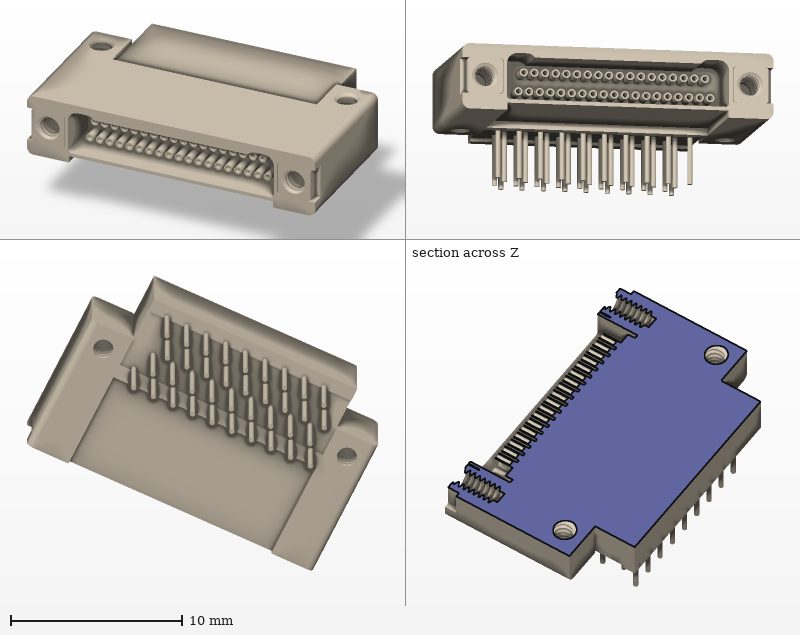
import cadquery as cq


SHELL_WIDTH = 18.52
SHELL_DEPTH = 8.76
SHELL_HEIGHT = 3.87
SHELL_EDGE_RADIUS = 0.42

OVERALL_DEPTH = 11.54
BLOCK_WIDTH = 13.15
BLOCK_FRONT_Y = 6.06
BLOCK_TOP_Z = 3.55
BLOCK_BOTTOM_Z = 0.19
FOOT_DEPTH = 0.82
NOTCH_HEIGHT = 0.42

CAVITY_WIDTH = 13.23
CAVITY_BOTTOM_Z = 0.64
CAVITY_TOP_Z = 3.15
CAVITY_EAR_Z = 3.385
CAVITY_EAR_WIDTH = 1.81
CAVITY_EAR_RADIUS = 0.63
CAVITY_CORNER_RADIUS = 0.22
CAVITY_DEPTH = 2.8
INSERT_WIDTH = 12.78
INSERT_BOTTOM_Z = 0.825
INSERT_TOP_Z = 3.04
INSERT_TOP_RADIUS = 0.38
INSERT_BOTTOM_RADIUS = 0.15
INSERT_FACE_Y = 2.3

PITCH = 0.635
LOWER_COUNT = 19
UPPER_COUNT = 18
LOWER_ROW_Z = 1.31
UPPER_ROW_Z = 2.44
CONTACT_DIAMETER = 0.48
CONTACT_BORE = 0.30
CONTACT_TIP_Y = 1.05
CONTACT_BORE_DEPTH = 1.0
TAIL_DIAMETER = 0.30
TAIL_END_Z = -2.77
TAIL_FIRST_ROW_Y = 7.01
TAIL_ROW_SPACING = 1.27
EMBED = 0.3

FASTENER_X = 7.885
SLOT_DEPTH = 0.77
SLOT_INNER_X = 6.83
SLOT_BOTTOM_Z = 0.93
SLOT_TOP_Z = 3.04
NUT_CLEARANCE = 0.04
NUT_OUTER_X = 8.97
NUT_CORNER_RADIUS = 0.18
THREAD_MINOR = 1.18
THREAD_MAJOR = 1.66
THREAD_PITCH = 0.35
THREAD_ROOT_RATIO = 0.9
THREAD_BASE_RATIO = 0.9
THREAD_START_ANGLE = 180
ENTRY_DIAMETER = 1.5
FRONT_THREAD_Z = (SLOT_BOTTOM_Z + SLOT_TOP_Z) / 2
FRONT_THREAD_DEPTH = 3.0
BOARD_SCREW_Y = 7.42
PIN_Y = 4.70
PIN_DIAMETER = 1.0


def box(x_min, x_max, y_min, y_max, z_min, z_max):
    """Axis-aligned box from its limits."""
    size = (x_max - x_min, y_max - y_min, z_max - z_min)
    return cq.Workplane("XY").box(*size, centered=False).translate((x_min, y_min, z_min))


def rod(x, y, z, diameter, length, direction):
    """Cylinder that starts at a point and runs along a direction."""
    return cq.Solid.makeCylinder(diameter / 2, length, cq.Vector(x, y, z), cq.Vector(*direction))


def row_positions(count):
    """X of each contact in a centred row."""
    return [(i - (count - 1) / 2) * PITCH for i in range(count)]


def shell():
    half = SHELL_WIDTH / 2
    body = box(-half, half, 0, SHELL_DEPTH, 0, SHELL_HEIGHT)
    return body.edges("|Y").fillet(SHELL_EDGE_RADIUS)


def block_opening():
    """Space cleared at the rear of the shell for the insulator, plus the notch under the front."""
    half = BLOCK_WIDTH / 2
    rear = box(-half, half, BLOCK_FRONT_Y, SHELL_DEPTH, 0, SHELL_HEIGHT)
    notch = box(-half, half, 0, BLOCK_FRONT_Y, 0, NOTCH_HEIGHT)
    return rear.union(notch)


def insulator_block():
    """Rear block standing on a foot along its front and rear edges."""
    half = BLOCK_WIDTH / 2
    block = box(-half, half, BLOCK_FRONT_Y, OVERALL_DEPTH, 0, BLOCK_TOP_Z)
    relief_front = BLOCK_FRONT_Y + FOOT_DEPTH
    relief_rear = OVERALL_DEPTH - FOOT_DEPTH
    return block.cut(box(-half, half, relief_front, relief_rear, 0, BLOCK_BOTTOM_Z))


def mating_cavity():
    """D opening: a rectangle with a raised, rounded ear at each upper corner."""
    half = CAVITY_WIDTH / 2
    lower = box(-half, half, 0, CAVITY_DEPTH, CAVITY_BOTTOM_Z, CAVITY_EAR_Z - CAVITY_EAR_RADIUS)
    cavity = lower.edges("|Y and <Z").fillet(CAVITY_CORNER_RADIUS)
    ear_inner = half - CAVITY_EAR_WIDTH
    for x_min, x_max in ((-half, -ear_inner), (ear_inner, half)):
        ear = box(x_min, x_max, 0, CAVITY_DEPTH, CAVITY_BOTTOM_Z + CAVITY_CORNER_RADIUS, CAVITY_EAR_Z)
        cavity = cavity.union(ear.edges("|Y and >Z").fillet(CAVITY_EAR_RADIUS))
    middle = half - CAVITY_EAR_WIDTH / 2
    return cavity.union(box(-middle, middle, 0, CAVITY_DEPTH, CAVITY_BOTTOM_Z, CAVITY_TOP_Z))


def contact_insert():
    half = INSERT_WIDTH / 2
    insert = box(-half, half, INSERT_FACE_Y, CAVITY_DEPTH, INSERT_BOTTOM_Z, INSERT_TOP_Z)
    insert = insert.edges("|Y and >Z").fillet(INSERT_TOP_RADIUS)
    return insert.edges("|Y and <Z").fillet(INSERT_BOTTOM_RADIUS)


def contacts():
    """Tubular sockets, staggered in two rows."""
    length = INSERT_FACE_Y - CONTACT_TIP_Y + EMBED
    tubes = []
    for count, z in ((LOWER_COUNT, LOWER_ROW_Z), (UPPER_COUNT, UPPER_ROW_Z)):
        for x in row_positions(count):
            barrel = rod(x, CONTACT_TIP_Y, z, CONTACT_DIAMETER, length, (0, 1, 0))
            bore = rod(x, CONTACT_TIP_Y, z, CONTACT_BORE, CONTACT_BORE_DEPTH, (0, 1, 0))
            tubes.append(barrel.cut(bore))
    return tubes


def board_tails():
    """Four rows of tails; each contact row feeds two of them alternately."""
    tails = []
    length = BLOCK_BOTTOM_Z + EMBED - TAIL_END_Z
    for row_pair, count in enumerate((LOWER_COUNT, UPPER_COUNT)):
        for i, x in enumerate(row_positions(count)):
            y = TAIL_FIRST_ROW_Y + (2 * row_pair + i % 2) * TAIL_ROW_SPACING
            tails.append(rod(x, y, TAIL_END_Z, TAIL_DIAMETER, length, (0, 0, 1)))
    return tails


def nut_slot(side):
    """Slot in the front face, open towards the end of the shell."""
    outer = SHELL_WIDTH / 2 + NUT_CORNER_RADIUS
    slot = box(SLOT_INNER_X, outer, 0, SLOT_DEPTH, SLOT_BOTTOM_Z, SLOT_TOP_Z)
    slot = slot.edges("|Y and <X").fillet(NUT_CORNER_RADIUS)
    return slot if side > 0 else slot.mirror("YZ")


def nut(side):
    """Square nut seated in the slot, flush with the front face."""
    inner = SLOT_INNER_X + NUT_CLEARANCE
    body = box(inner, NUT_OUTER_X, 0, SLOT_DEPTH, SLOT_BOTTOM_Z, SLOT_TOP_Z)
    body = body.edges("|Y").fillet(NUT_CORNER_RADIUS)
    return body if side > 0 else body.mirror("YZ")


def locating_pin(side):
    """Pin through the shell, flush with its top and bottom."""
    return rod(side * FASTENER_X, PIN_Y, 0, PIN_DIAMETER, SHELL_HEIGHT, (0, 0, 1))


def thread_cutters(depth, thread_start, thread_end, location):
    """Drill and helical groove of a tapped hole made along +Z from Z = 0, then moved to a location."""
    minor = THREAD_MINOR / 2
    major = THREAD_MAJOR / 2
    root = THREAD_ROOT_RATIO * minor
    half_base = THREAD_BASE_RATIO * THREAD_PITCH / 2
    helix = cq.Wire.makeHelix(THREAD_PITCH, thread_end - thread_start, root)
    profile = cq.Workplane("XZ").moveTo(root, -half_base).lineTo(root, half_base).lineTo(major, 0).close()
    groove = profile.sweep(cq.Workplane(helix), isFrenet=True).translate((0, 0, thread_start))
    groove = groove.rotate((0, 0, 0), (0, 0, 1), THREAD_START_ANGLE)
    drill = cq.Workplane("XY").circle(minor).extrude(depth)
    return [cutter.val().moved(location) for cutter in (drill, groove)]


def entry_chamfer(location):
    """45-degree entry cone that narrows along +Z, moved to a location."""
    entry = ENTRY_DIAMETER / 2
    minor = THREAD_MINOR / 2
    return cq.Solid.makeCone(entry, minor, entry - minor).moved(location)


def front_thread(side):
    """Blind tapped hole entering the nut from the front, with its thread starting ahead of the face."""
    start = cq.Vector(side * FASTENER_X, 0, FRONT_THREAD_Z)
    location = cq.Location(start, cq.Vector(1, 0, 0), -90)
    thread_end = FRONT_THREAD_DEPTH - THREAD_PITCH
    cutters = thread_cutters(FRONT_THREAD_DEPTH, -THREAD_PITCH, thread_end, location)
    return cutters + [entry_chamfer(location)]


def board_thread(side):
    """Tapped hole straight through the shell, chamfered at the top, with its thread inside the wall."""
    x = side * FASTENER_X
    bottom = cq.Location(cq.Vector(x, BOARD_SCREW_Y, 0))
    top = cq.Location(cq.Vector(x, BOARD_SCREW_Y, SHELL_HEIGHT), cq.Vector(1, 0, 0), 180)
    cutters = thread_cutters(SHELL_HEIGHT, THREAD_PITCH, SHELL_HEIGHT - THREAD_PITCH, bottom)
    return cutters + [entry_chamfer(top)]


housing = shell().cut(block_opening()).cut(mating_cavity())
housing = housing.union(insulator_block()).union(contact_insert())
for side in (-1, 1):
    housing = housing.cut(nut_slot(side)).cut(cq.Workplane(locating_pin(side)))

flush_parts = [nut(-1).val(), nut(1).val(), locating_pin(-1), locating_pin(1)]
connector = housing.val().fuse(*flush_parts, *contacts(), *board_tails())
for side in (-1, 1):
    for cutter in front_thread(side) + board_thread(side):
        connector = connector.cut(cutter)

result = cq.Workplane(connector)